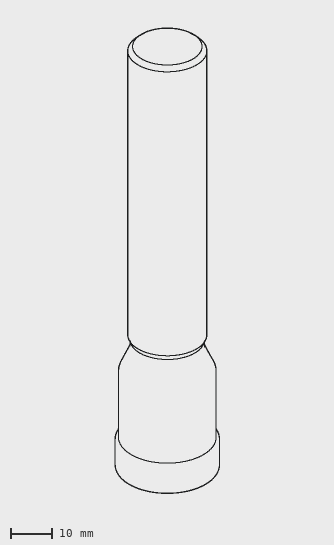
import cadquery as cq

total_height = 120.6
collar_height = 8.5
body_top = 27.7
cone_bottom = 28.4
cone_top = 33.9
neck_bottom = 34.6
neck_top = 36.4
neck_flare_top = 37.2
shank_bottom = 37.9

collar_diameter = 25.5
collar_rim_radius = 0.6
body_diameter = 23.8
cone_bottom_diameter = 23.4
cone_top_diameter = 18.5
neck_diameter = 18.1
neck_flare_diameter = 18.6
shank_diameter = 19.3
shank_chamfer = 1.2


def make_collar():
    """Plain disc with both rims rounded, forming the foot of the part."""
    disc = cq.Workplane("XY").circle(collar_diameter / 2).extrude(collar_height)
    return disc.faces("<Z or >Z").edges().fillet(collar_rim_radius)


def make_stem():
    """Turned stem: cylindrical body, cone, undercut neck and long shank."""
    shank_radius = shank_diameter / 2
    profile = [
        (0, collar_height),
        (body_diameter / 2, collar_height),
        (body_diameter / 2, body_top),
        (cone_bottom_diameter / 2, cone_bottom),
        (cone_top_diameter / 2, cone_top),
        (neck_diameter / 2, neck_bottom),
        (neck_diameter / 2, neck_top),
        (neck_flare_diameter / 2, neck_flare_top),
        (shank_radius, shank_bottom),
        (shank_radius, total_height - shank_chamfer),
        (shank_radius - shank_chamfer, total_height),
        (0, total_height),
    ]
    return cq.Workplane("XZ").polyline(profile).close().revolve(360, (0, 0), (0, 1))


collar = make_collar()
stem = make_stem()

result = cq.Compound.makeCompound([collar.val(), stem.val()])